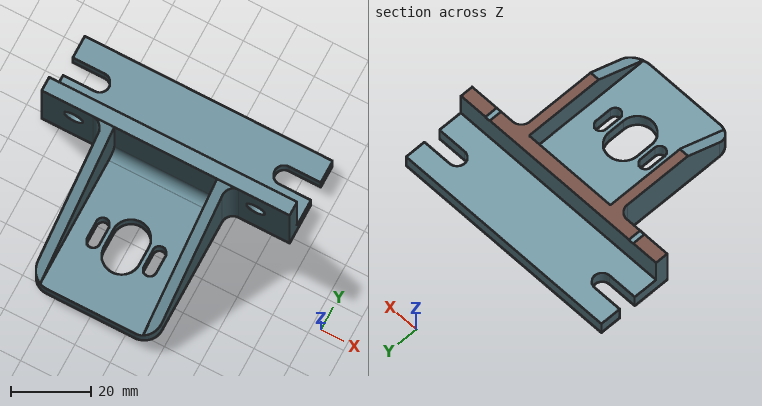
import cadquery as cq

width = 70.0
depth = 63.0
height = 23.0

base_thickness = 4.0
wall_thickness = 4.0
flange_depth = 19.0
wall_back_y = wall_thickness
back_y = wall_thickness + flange_depth
front_y = back_y - depth

shelf_width = 35.0
rib_thickness = 3.0
pocket_width = shelf_width - 2 * rib_thickness
root_radius = 3.0
corner_radius = 5.0

screw_diameter = 5.2
left_screw_x = -26.0
right_screw_x = 25.4
screw_z = 14.0
flange_slot_inset = 9.0
flange_slot_setback = 9.0
flange_slot_y = back_y - flange_slot_setback

opening_setback = 19.0
opening_y = front_y + opening_setback
main_opening_length = 15.0
main_opening_width = 10.0
side_opening_length = 8.5
side_opening_width = 3.5
side_opening_x = 8.0


def make_back():
    """L-shaped flange and wall spanning the full width."""
    profile = [
        (0, 0),
        (back_y, 0),
        (back_y, base_thickness),
        (wall_back_y, base_thickness),
        (wall_back_y, height),
        (0, height),
    ]
    return cq.Workplane("YZ").polyline(profile).close().extrude(width / 2, both=True)


def make_shelf_blank():
    """Full-height block with rounded front corners and flared roots at the wall."""
    half = shelf_width / 2
    return (
        cq.Workplane("XY")
        .moveTo(-half - root_radius, 0)
        .radiusArc((-half, -root_radius), root_radius)
        .lineTo(-half, front_y + corner_radius)
        .radiusArc((-half + corner_radius, front_y), -corner_radius)
        .lineTo(half - corner_radius, front_y)
        .radiusArc((half, front_y + corner_radius), -corner_radius)
        .lineTo(half, -root_radius)
        .radiusArc((half + root_radius, 0), root_radius)
        .close()
        .extrude(height)
    )


def make_slope():
    """Side envelope running from the wall top down to the shelf's front edge."""
    profile = [(0, 0), (0, height), (front_y, base_thickness), (front_y, 0)]
    return cq.Workplane("YZ").polyline(profile).close().extrude(width / 2, both=True)


def make_pocket():
    """Open space between the ribs, with a rounded corner where shelf meets wall."""
    return (
        cq.Workplane("YZ")
        .moveTo(front_y, base_thickness)
        .lineTo(-root_radius, base_thickness)
        .radiusArc((0, base_thickness + root_radius), -root_radius)
        .lineTo(0, height)
        .lineTo(front_y, height)
        .close()
        .extrude(pocket_width / 2, both=True)
    )


def make_shelf_opening(x, length, opening_width):
    """Cutter for a round-ended opening running along Y through the shelf."""
    return (
        cq.Workplane("XY")
        .center(x, opening_y)
        .slot2D(length, opening_width, 90)
        .extrude(base_thickness)
    )


def make_wall_hole(x):
    """Cutter for a screw hole through the wall."""
    return (
        cq.Workplane("XZ")
        .center(x, screw_z)
        .circle(screw_diameter / 2)
        .extrude(-wall_thickness)
    )


def make_flange_slot(side):
    """Cutter for a round-ended slot open at the flange's side edge; side is -1 or 1."""
    return (
        cq.Workplane("XY")
        .center(side * width / 2, flange_slot_y)
        .slot2D(2 * flange_slot_inset + screw_diameter, screw_diameter)
        .extrude(base_thickness)
    )


shelf = make_shelf_blank().intersect(make_slope()).cut(make_pocket())
result = make_back().union(shelf)

result = result.cut(make_shelf_opening(0, main_opening_length, main_opening_width))
for side in (-1, 1):
    result = result.cut(make_shelf_opening(side * side_opening_x, side_opening_length, side_opening_width))
    result = result.cut(make_flange_slot(side))

for screw_x in (left_screw_x, right_screw_x):
    result = result.cut(make_wall_hole(screw_x))